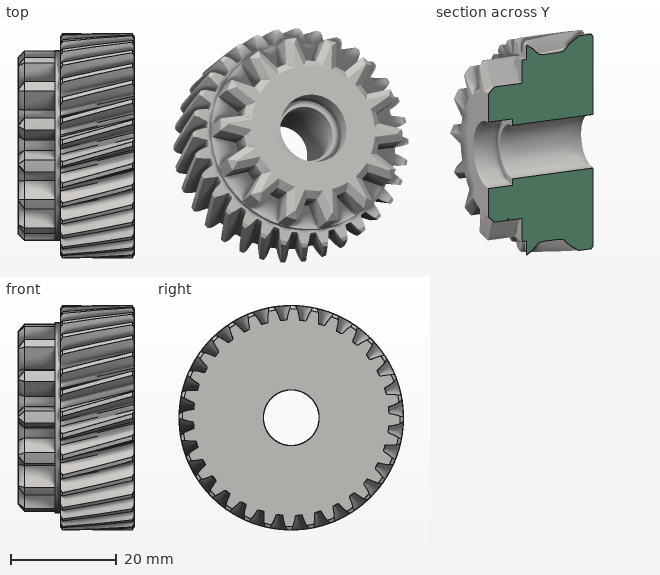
import cadquery as cq
import math

total_length = 22.0
dog_length = 7.0
gear_start = 8.0
gear_width = total_length - gear_start

bore_diameter = 10.5
counterbore_diameter = 13.05
counterbore_depth = 5.0

dog_count = 14
dog_start_angle = -0.4
flange_radius = 18.0
dog_tip_radius = 17.93
dog_root_radius = 13.4
dog_tip_half_width = 1.15
dog_flank_angle = math.radians(10.5)
dog_chamfer = 1.25
slot_inner_reach = dog_root_radius - 5.0
slot_outer_reach = dog_tip_radius + 5.0

gear_tooth_count = 32
normal_module = 1.2
helix_angle = math.radians(15)
gear_pitch_radius = gear_tooth_count * normal_module / math.cos(helix_angle) / 2
gear_twist = -math.degrees(gear_width * math.tan(helix_angle) / gear_pitch_radius)
gear_tip_radius = 21.25
gear_root_radius = 18.5
gap_floor_half_width = 0.35
gap_pitch_half_width = 1.03
gap_tip_half_width = 1.68
gap_fillet = 0.36
gap_clearance = 0.5
first_gap_angle = 94.0
gear_chamfer_length = 0.4
gear_chamfer_height = 0.66


def make_blank():
    """Turned body: dog cylinder, flange and gear cylinder with chamfered rims."""
    rim_radius = gear_tip_radius - gear_chamfer_height
    outline = [
        (0, 0),
        (0, dog_tip_radius),
        (dog_length, dog_tip_radius),
        (dog_length, flange_radius),
        (gear_start, flange_radius),
        (gear_start, rim_radius),
        (gear_start + gear_chamfer_length, gear_tip_radius),
        (total_length - gear_chamfer_length, gear_tip_radius),
        (total_length, rim_radius),
        (total_length, 0),
    ]
    return cq.Workplane("XY").polyline(outline).close().revolve(360, (0, 0, 0), (1, 0, 0))


def cut_around_axis(body, cutter, count, start_angle):
    """Cut equally spaced copies of the cutter around the X axis, all in one operation."""
    copies = []
    for index in range(count):
        angle = start_angle + index * 360 / count
        copies.append(cutter.rotate((0, 0, 0), (1, 0, 0), angle).val())
    return cq.Workplane("XY").newObject([body.val().cut(*copies).clean()])


def make_dog_slot():
    """Wedge-shaped space between two dogs, centred on +Z with a round floor."""
    half_pitch = math.pi / dog_count

    def flank_point(distance):
        """Point on the dog flank, given the distance along the dog axis."""
        across = dog_tip_half_width + (dog_tip_radius - distance) * math.tan(dog_flank_angle)
        return (
            distance * math.sin(half_pitch) - across * math.cos(half_pitch),
            distance * math.cos(half_pitch) + across * math.sin(half_pitch),
        )

    inner = flank_point(slot_inner_reach)
    outer = flank_point(slot_outer_reach)
    wedge = (
        cq.Workplane("YZ")
        .polyline([inner, outer, (-outer[0], outer[1]), (-inner[0], inner[1])])
        .close()
        .extrude(dog_length)
    )
    core = cq.Workplane("YZ").circle(dog_root_radius).extrude(dog_length)
    return wedge.cut(core)


def cut_dog_teeth(body):
    """Cut the slots between the dogs, then chamfer the whole front outline."""
    slotted = cut_around_axis(body, make_dog_slot(), dog_count, dog_start_angle)
    return slotted.faces("<X").edges().chamfer(dog_chamfer)


def make_gear_gap():
    """Twisted tooth space of the gear, centred on +Y at the front gear face."""
    clearance_radius = gear_tip_radius + gap_clearance
    clearance_half_width = gap_tip_half_width + gap_clearance
    fillet_top = (gear_root_radius + gap_fillet, gap_floor_half_width + gap_fillet)
    fillet_middle = (
        gear_root_radius + gap_fillet * (1 - math.cos(math.pi / 4)),
        gap_floor_half_width + gap_fillet * math.sin(math.pi / 4),
    )
    floor_end = (gear_root_radius, gap_floor_half_width)
    flank_middle = (gear_pitch_radius, gap_pitch_half_width)
    flank_top = (gear_tip_radius, gap_tip_half_width)

    def mirrored(point):
        """The matching point on the other flank of the tooth space."""
        return (point[0], -point[1])

    gap = (
        cq.Workplane("YZ")
        .moveTo(*mirrored(floor_end))
        .lineTo(*floor_end)
        .threePointArc(fillet_middle, fillet_top)
        .threePointArc(flank_middle, flank_top)
        .lineTo(clearance_radius, clearance_half_width)
        .lineTo(clearance_radius, -clearance_half_width)
        .lineTo(*mirrored(flank_top))
        .threePointArc(mirrored(flank_middle), mirrored(fillet_top))
        .threePointArc(mirrored(fillet_middle), mirrored(floor_end))
        .close()
        .twistExtrude(gear_width, gear_twist)
    )
    return gap.translate((gear_start, 0, 0))


def cut_gear_teeth(body):
    """Cut the helical tooth spaces around the gear."""
    return cut_around_axis(body, make_gear_gap(), gear_tooth_count, first_gap_angle)


def cut_bore(body):
    """Through bore with a wider counterbore from the dog end."""
    bore = cq.Workplane("YZ").circle(bore_diameter / 2).extrude(total_length)
    counterbore = cq.Workplane("YZ").circle(counterbore_diameter / 2).extrude(counterbore_depth)
    return body.cut(bore).cut(counterbore)


result = cut_bore(cut_gear_teeth(cut_dog_teeth(make_blank()))).solids()